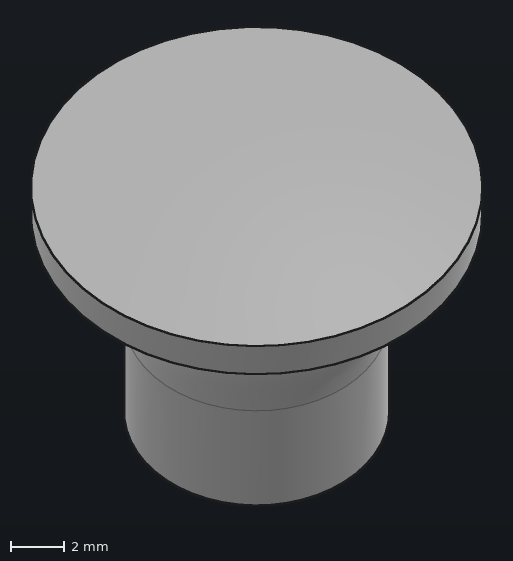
import cadquery as cq
import math

head_radius = 8.5
shank_radius = 5.0
total_height = 14.0
dome_height = 2.0
rim_height = 1.5
flare_radius = 6.0

rim_top = total_height - dome_height
rim_bottom = rim_top - rim_height

flare_center_radius = shank_radius + flare_radius
flare_angle = math.acos((flare_center_radius - head_radius) / flare_radius)
shank_height = rim_bottom - flare_radius * math.sin(flare_angle)
flare_middle = (
    flare_center_radius - flare_radius * math.cos(flare_angle / 2),
    shank_height + flare_radius * math.sin(flare_angle / 2),
)

dome_radius = (head_radius**2 + dome_height**2) / (2 * dome_height)
dome_center_height = total_height - dome_radius
dome_half_angle = math.asin(head_radius / dome_radius)
dome_middle = (
    dome_radius * math.sin(dome_half_angle / 2),
    dome_center_height + dome_radius * math.cos(dome_half_angle / 2),
)

half_section = (
    cq.Workplane("XZ")
    .lineTo(shank_radius, 0)
    .lineTo(shank_radius, shank_height)
    .threePointArc(flare_middle, (head_radius, rim_bottom))
    .lineTo(head_radius, rim_top)
    .threePointArc(dome_middle, (0, total_height))
    .close()
)

result = half_section.revolve(360, (0, 0, 0), (0, 1, 0))